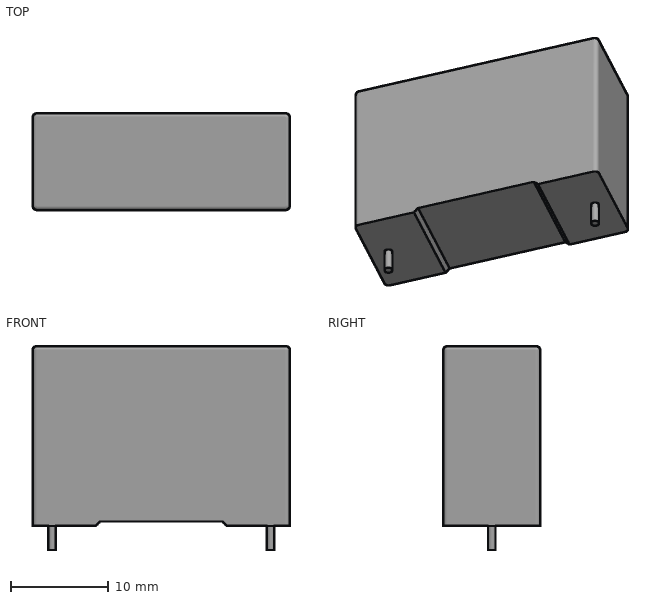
import cadquery as cq


case_length = 26.5
case_width = 10.0
case_height = 18.5
upright_edge_radius = 0.48
top_edge_radius = 0.4

relief_depth = 0.45
relief_roof_length = 12.6
relief_mouth_length = relief_roof_length + 2 * relief_depth

lead_diameter = 0.8
lead_pitch = 22.5
lead_length = 2.5
lead_embed = 1.0


def make_case():
    """Block with rounded upright and top edges; the bottom edges stay sharp."""
    block = cq.Workplane("XY").box(
        case_length, case_width, case_height, centered=(True, True, False)
    )
    rounded_block = block.edges("|Z").fillet(upright_edge_radius)
    return rounded_block.faces(">Z").edges().fillet(top_edge_radius)


def make_relief():
    """Trapezoidal channel running the full width of the case."""
    profile = [
        (-relief_mouth_length / 2, 0),
        (-relief_roof_length / 2, relief_depth),
        (relief_roof_length / 2, relief_depth),
        (relief_mouth_length / 2, 0),
    ]
    return cq.Workplane("XZ").polyline(profile).close().extrude(case_width / 2, both=True)


def make_leads():
    """Two round wires below the case, one pitch apart along X."""
    lead_centers = [(-lead_pitch / 2, 0), (lead_pitch / 2, 0)]
    return (
        cq.Workplane("XY")
        .workplane(offset=-lead_length)
        .pushPoints(lead_centers)
        .circle(lead_diameter / 2)
        .extrude(lead_length + lead_embed)
    )


result = make_case().cut(make_relief()).union(make_leads())